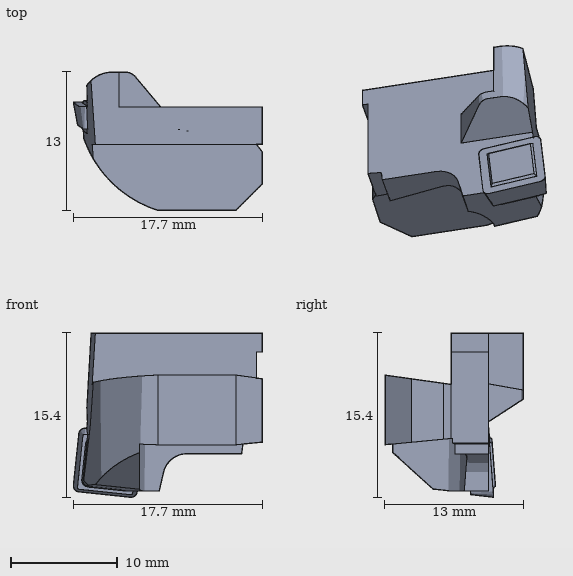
import cadquery as cq
import math


length = 17.68
depth = 12.95
top_z = 15.36
foot_bottom_z = 0.58

rail_front_y = 6.17
rail_back_y = 9.69
shoulder_front_z = 11.44
shoulder_tilt = 8.0
overhang_front_z = 4.92
overhang_tilt = 5.5
front_corner = 2.48
rear_corner_y = 0.69
notch_length = 0.53
notch_top_z = 13.58

front_flat_start_x = 7.9
front_curve_middle = (3.98, 2.25)
front_curve_end = (0.83, 7.2)

boss_left_radius = 2.92
boss_right_radius = 2.5 / 2
boss_left_x = 1.22
boss_arc_x = 3.66
boss_flat_end_x = 4.86
boss_flank_angle = 50.0
boss_bottom_back_z = 9.2
boss_bottom_front_z = 7.07
ledge_x = 4.28
ledge_z = 10.6
ledge_tilt = 10.0

upper_flank = [(2.07, 6.17, 15.36), (1.66, 12.13, 15.36), (1.3, 9.78, 7.07)]
lower_flank = [(1.3, 9.78, 7.07), (1.6, 5.35, 6.72), (0.97, 6.77, 1.54)]
corner_flat = [(0.99, 7.6, 1.52), (1.0, 6.77, 1.52), (1.3, 6.33, 1.2)]

recess_x = 6.19
recess_radius = 3.04
recess_center_y = 4.6
recess_wall_angle = 10.0
foot_right_x = 8.05
foot_side_angle = 13.0
foot_fillet_radius = 2.21
shelf_z = 4.07
shelf_end_top_x = 15.88
shelf_end_bottom_x = 15.75
bevel_bottom_y = 4.49
bevel_bottom_z = 0.76
bevel_angle = 42.0

insert_side = 6.01
insert_corner_radius = 0.58
insert_depth = 2.12
insert_clearance = 11.0
plateau_margin = 0.32
plateau_height = 0.48
plateau_taper = 14.0
plateau_corner_radius = 0.62
rake_margin = 0.8
rake_height = 0.23
rake_taper = 40.0
insert_lean = 4.3
insert_turn = 6.0
seat_lean = -5.0
insert_corner = (-0.058, 10.15, 0.57)

big = 53.04
overshoot = 0.18


def insert_frame(shape):
    """Lean, turn and move a shape from the insert's own axes to its place."""
    leaned = shape.rotate((0, 0, 0), (1, 0, 0), insert_lean)
    turned = leaned.rotate((0, 0, 0), (0, 1, 0), insert_turn)
    return turned.translate(insert_corner)


def half_space(points, outward):
    """Block on the side of the plane through three points that `outward` points to."""
    a, b, c = [cq.Vector(*p) for p in points]
    normal = (b - a).cross(c - a)
    if normal.dot(cq.Vector(*outward)) < 0:
        normal = normal * -1
    return cq.Workplane(cq.Plane(origin=a, normal=normal)).rect(big, big).extrude(big)


def side_prism(points):
    """YZ outline extruded through the whole length of the holder."""
    return cq.Workplane("YZ").polyline(points).close().extrude(big, both=True)


def front_block():
    """Rail and shoulder with the curved front, over the full height."""
    plan = (
        cq.Workplane("XY")
        .moveTo(length, rail_back_y)
        .lineTo(length, front_corner)
        .lineTo(length - front_corner, 0)
        .lineTo(front_flat_start_x, 0)
        .threePointArc(front_curve_middle, front_curve_end)
        .lineTo(0, rail_back_y)
        .close()
        .extrude(top_z)
    )
    shoulder_drop = rail_front_y * math.tan(math.radians(shoulder_tilt))
    above_shoulder = side_prism([
        (0, shoulder_front_z),
        (rail_front_y, shoulder_front_z - shoulder_drop),
        (rail_front_y, big),
        (0, big),
    ])
    return plan.cut(above_shoulder)


def boss():
    """Rounded boss behind the rail with its undercut bottom and sloping ledge."""
    flank = math.radians(boss_flank_angle)
    left_arc_y = depth - boss_left_radius
    left_sweep = math.acos((boss_arc_x - boss_left_x) / boss_left_radius)
    left_end_y = left_arc_y + boss_left_radius * math.sin(left_sweep)
    left_mid = (math.pi / 2 + math.pi - left_sweep) / 2
    flank_x = boss_flat_end_x + boss_right_radius * math.sin(flank)
    flank_y = depth - boss_right_radius * (1 - math.cos(flank))
    right_mid = (
        boss_flat_end_x + boss_right_radius * math.sin(flank / 2),
        depth - boss_right_radius * (1 - math.cos(flank / 2)),
    )
    flank_end_x = flank_x + (flank_y - rail_back_y) / math.tan(flank)
    plan = (
        cq.Workplane("XY")
        .moveTo(boss_left_x, rail_back_y)
        .lineTo(boss_left_x, left_end_y)
        .threePointArc(
            (boss_arc_x + boss_left_radius * math.cos(left_mid),
             left_arc_y + boss_left_radius * math.sin(left_mid)),
            (boss_arc_x, depth),
        )
        .lineTo(boss_flat_end_x, depth)
        .threePointArc(right_mid, (flank_x, flank_y))
        .lineTo(flank_end_x, rail_back_y)
        .close()
        .extrude(top_z)
    )
    below_boss = side_prism([
        (rail_back_y, boss_bottom_front_z),
        (depth, boss_bottom_back_z),
        (depth, -big),
        (rail_back_y, -big),
    ])
    ledge_drop = (depth - rail_back_y) * math.tan(math.radians(ledge_tilt))
    above_ledge = (
        cq.Workplane("YZ", origin=(ledge_x, 0, 0))
        .polyline([
            (rail_back_y, ledge_z),
            (depth, ledge_z - ledge_drop),
            (depth, big),
            (rail_back_y, big),
        ])
        .close()
        .extrude(big)
    )
    return plan.cut(below_boss).cut(above_ledge)


def rail_end_notch():
    """Notch under the right end of the rail and the corner in front of it."""
    notch_x = length - notch_length
    return (
        cq.Workplane("XY")
        .polyline([
            (notch_x, big),
            (notch_x, rail_front_y),
            (length, rail_front_y - rear_corner_y),
            (length + overshoot, rail_front_y - rear_corner_y),
            (length + overshoot, big),
        ])
        .close()
        .extrude(notch_top_z)
    )


def overhang_z(y):
    """Height of the overhang's sloping underside at a given Y."""
    return overhang_front_z + y * math.tan(math.radians(overhang_tilt))


def foot_recess():
    """Space below the overhang, right of the curved front and in front of the foot."""
    wall = math.radians(recess_wall_angle)
    center_x = recess_x + recess_radius
    mid = math.pi - (math.pi / 2 + wall) / 2
    end = (center_x + recess_radius * math.sin(wall), recess_center_y + recess_radius * math.cos(wall))
    right_x = length + overshoot
    right_y = end[1] - (right_x - end[0]) * math.tan(wall)
    plan = (
        cq.Workplane("XY", origin=(0, 0, -overshoot))
        .moveTo(recess_x, -overshoot)
        .lineTo(recess_x, recess_center_y)
        .threePointArc(
            (center_x + recess_radius * math.cos(mid), recess_center_y + recess_radius * math.sin(mid)),
            end,
        )
        .lineTo(right_x, right_y)
        .lineTo(right_x, -overshoot)
        .close()
        .extrude(big)
    )
    below_overhang = side_prism([
        (-overshoot, overhang_z(-overshoot)),
        (depth, overhang_z(depth)),
        (depth, -big),
        (-overshoot, -big),
    ])
    return plan.intersect(below_overhang)


def below_foot():
    """Space below and right of the foot, seen along Y."""
    side = math.radians(foot_side_angle)
    fillet_z = shelf_z - foot_fillet_radius * (1 - math.sin(side))
    fillet_x = foot_right_x + (fillet_z - foot_bottom_z) * math.tan(side)
    center_x = fillet_x + foot_fillet_radius * math.cos(side)
    center_z = shelf_z - foot_fillet_radius
    mid = (math.pi / 2 + math.pi - side) / 2
    corner_y = shelf_end_top_x - (length - front_corner)
    return (
        cq.Workplane("XZ")
        .moveTo(-big, foot_bottom_z)
        .lineTo(foot_right_x, foot_bottom_z)
        .lineTo(fillet_x, fillet_z)
        .threePointArc(
            (center_x + foot_fillet_radius * math.cos(mid), center_z + foot_fillet_radius * math.sin(mid)),
            (center_x, shelf_z),
        )
        .lineTo(shelf_end_bottom_x, shelf_z)
        .lineTo(shelf_end_top_x, overhang_z(corner_y))
        .lineTo(length + overshoot, overhang_z(front_corner + overshoot))
        .lineTo(length + overshoot, -big)
        .lineTo(-big, -big)
        .close()
        .extrude(big, both=True)
    )


def front_bevel():
    """Space under the sloping bevel below the curved front, turned like the insert."""
    rise = math.tan(math.radians(bevel_angle))
    bevel = side_prism([
        (0, 0),
        (-big, big * rise),
        (-big, -big),
        (0, -big),
    ])
    turned = bevel.rotate((0, 0, 0), (0, 1, 0), insert_turn)
    return turned.translate((recess_x, bevel_bottom_y, bevel_bottom_z))


def seat_bottom():
    """Space under the holder's lower face, which turns with the insert and rises towards the front."""
    block = cq.Workplane("XY").box(big, big, big).translate((0, 0, -big / 2))
    leaned = block.rotate((0, 0, 0), (1, 0, 0), seat_lean)
    turned = leaned.rotate((0, 0, 0), (0, 1, 0), insert_turn)
    return turned.translate((recess_x, bevel_bottom_y, bevel_bottom_z))


def cutting_insert():
    """Square insert with clearance on its sides, a plateau in front and a low one on the rake face."""
    half = insert_side / 2
    inset = insert_depth * math.tan(math.radians(insert_clearance))
    plateau_side = insert_side - 2 * (inset + plateau_margin)
    rake_side = insert_side - 2 * rake_margin
    plate = (
        cq.Workplane("XZ")
        .sketch().push([(half, half)]).rect(insert_side, insert_side).reset()
        .vertices().fillet(insert_corner_radius).finalize()
        .extrude(insert_depth, taper=insert_clearance)
    )
    plateau = (
        cq.Workplane("XZ", origin=(0, -insert_depth, 0))
        .sketch().push([(half, half)]).rect(plateau_side, plateau_side).reset()
        .vertices().fillet(plateau_corner_radius).finalize()
        .extrude(plateau_height, taper=plateau_taper)
    )
    rake = (
        cq.Workplane("ZX")
        .center(half, half)
        .rect(rake_side, rake_side)
        .extrude(rake_height, taper=rake_taper)
    )
    return insert_frame(plate.union(plateau).union(rake))


def holder(insert):
    """Holder with all its cuts and a seat that matches the insert."""
    body = front_block().union(boss())
    body = body.cut(rail_end_notch())
    left_waste = half_space(upper_flank, (-1, 0, 0)).intersect(half_space(lower_flank, (-1, 0, 0)))
    body = body.cut(left_waste)
    body = body.cut(half_space(corner_flat, (-1, 0, -1)))
    body = body.cut(foot_recess())
    body = body.cut(below_foot())
    body = body.cut(front_bevel())
    body = body.cut(seat_bottom())
    return body.cut(insert)


insert = cutting_insert()
body = holder(insert)
result = cq.Compound.makeCompound([body.val(), insert.val()])